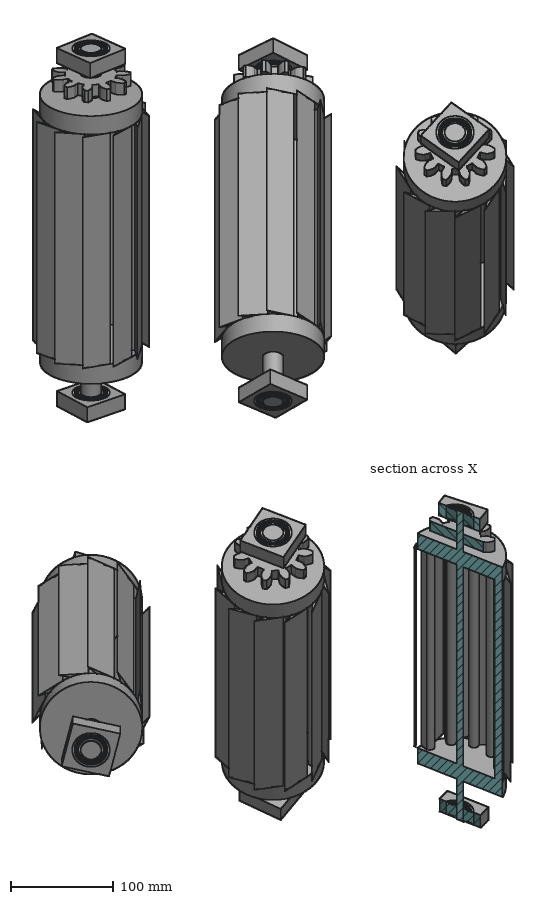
import cadquery as cq
import math

shaft_radius = 10.0
total_height = 390.0
disc_diameter = 100.2
disc_radius = disc_diameter / 2
disc_thickness = 20.0
blade_length = 250.0
neck_length = 33.0
shaft_overhang = 1.0

blade_count = 12
tip_reach = 28.0
base_overlap = 0.8
spine_radius = 5.0
spine_depth = 7.0
spine_offset = 4.3
blade_wedge_angle = 16.0
blade_start_angle = 12.6

block_side = 47.5
upper_block_turn = 4.7
bearing_radius = 18.5
groove_radii = ((12.5, 13.5), (15.0, 16.0))
groove_depth = 1.0

tooth_count = 11
gear_tip_radius = 39.0
gear_thickness = 13.0
gear_gap = 9.5
gear_turn = 85.5
pressure_angle = math.radians(20)
dedendum_factor = 1.25
flank_points = 6

block_height = (total_height - shaft_overhang - blade_length) / 2 - disc_thickness - neck_length
lower_block_z = shaft_overhang
lower_disc_z = lower_block_z + block_height + neck_length
blade_z = lower_disc_z + disc_thickness
upper_disc_z = blade_z + blade_length
gear_z = upper_disc_z + disc_thickness + gear_gap
upper_block_z = total_height - block_height


def cylinder(radius, z, height):
    return cq.Workplane("XY").workplane(offset=z).circle(radius).extrude(height)


def ring(inner_radius, outer_radius, z, height):
    return cq.Workplane("XY").workplane(offset=z).circle(outer_radius).circle(inner_radius).extrude(height)


def make_blade(angle):
    """Wedge with its outer flat tangent to the discs, a sharp tip outside them and a round spine inside."""
    base_thickness = (tip_reach + base_overlap) * math.tan(math.radians(blade_wedge_angle))
    wedge = (
        cq.Workplane("XY")
        .workplane(offset=blade_z)
        .moveTo(disc_radius, base_overlap)
        .lineTo(disc_radius, -tip_reach)
        .lineTo(disc_radius - base_thickness, base_overlap)
        .close()
        .extrude(blade_length)
    )
    spine = cylinder(spine_radius, blade_z, blade_length)
    spine = spine.translate((disc_radius - spine_depth, -spine_offset, 0))
    return wedge.union(spine).rotate((0, 0, 0), (0, 0, 1), angle)


def make_rotor():
    """Shaft with two end discs and the cage of blades between them."""
    rotor = cylinder(shaft_radius, 0, total_height)
    for z in (lower_disc_z, upper_disc_z):
        rotor = rotor.union(cylinder(disc_radius, z, disc_thickness))
    for i in range(blade_count):
        rotor = rotor.union(make_blade(blade_start_angle + i * 360 / blade_count))
    return rotor


def make_gear():
    """Spur gear with involute flanks, bored to fit the shaft."""
    module = 2 * gear_tip_radius / (tooth_count + 2)
    pitch_radius = module * tooth_count / 2
    root_radius = pitch_radius - dedendum_factor * module
    base_radius = pitch_radius * math.cos(pressure_angle)

    def involute(pressure):
        return math.tan(pressure) - pressure

    base_half_angle = math.pi / (2 * tooth_count) + involute(pressure_angle)

    def polar(radius, angle):
        return (radius * math.cos(angle), radius * math.sin(angle))

    def flank_point(radius, side):
        return polar(radius, side * (base_half_angle - involute(math.acos(base_radius / radius))))

    step = (gear_tip_radius - base_radius) / (flank_points - 1)
    radii = [base_radius + i * step for i in range(flank_points)]
    rising_flank = [flank_point(radius, -1) for radius in radii]
    falling_flank = [flank_point(radius, 1) for radius in reversed(radii)]

    tooth = (
        cq.Workplane("XY")
        .workplane(offset=gear_z)
        .moveTo(*polar(shaft_radius, -base_half_angle))
        .lineTo(*rising_flank[0])
        .spline(rising_flank[1:], includeCurrent=True)
        .threePointArc((gear_tip_radius, 0), falling_flank[0])
        .spline(falling_flank[1:], includeCurrent=True)
        .lineTo(*polar(shaft_radius, base_half_angle))
        .close()
        .extrude(gear_thickness)
    )
    gear = cylinder(root_radius, gear_z, gear_thickness)
    for i in range(tooth_count):
        gear = gear.union(tooth.rotate((0, 0, 0), (0, 0, 1), gear_turn + i * 360 / tooth_count))
    return gear.cut(cylinder(shaft_radius, gear_z, gear_thickness))


def make_block(z, turn):
    """Square bearing block with a through seat for its bearing."""
    block = cq.Workplane("XY").workplane(offset=z).rect(block_side, block_side).extrude(block_height)
    return block.cut(cylinder(bearing_radius, z, block_height)).rotate((0, 0, 0), (0, 0, 1), turn)


def make_bearing(z):
    """Bearing ring filling the block seat, with concentric grooves in both faces."""
    bearing = ring(shaft_radius, bearing_radius, z, block_height)
    for inner_radius, outer_radius in groove_radii:
        for groove_z in (z, z + block_height - groove_depth):
            bearing = bearing.cut(ring(inner_radius, outer_radius, groove_z, groove_depth))
    return bearing


rotor = make_rotor()
gear = make_gear()
blocks = [make_block(lower_block_z, 0), make_block(upper_block_z, upper_block_turn)]
bearings = [make_bearing(z) for z in (lower_block_z, upper_block_z)]

result = cq.Compound.makeCompound(
    [rotor.val(), gear.val()] + [body.val() for body in blocks + bearings]
)